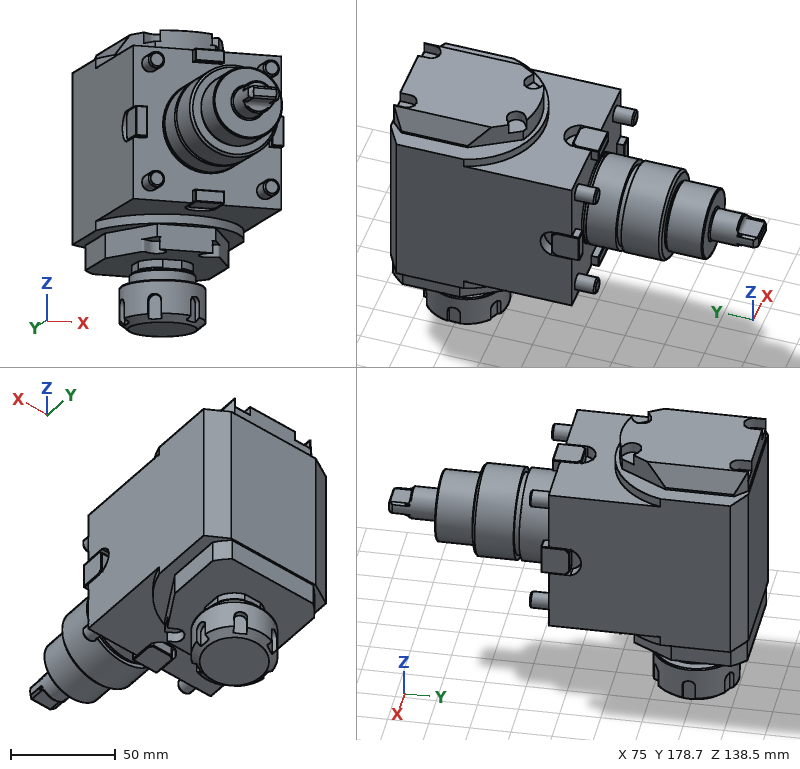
import cadquery as cq
import math


overall_height = 138.53
quarter_turns = (0, 90, 180, 270)

housing_width = 75.0
housing_height = 75.0
housing_depth = 95.0
flange_half_height = 42.0
flange_radius = 39.0
tool_axis_y = 65.0
housing_back_chamfer_depth = 6.7
housing_back_chamfer_angle = 60.0
housing_back_chamfer_width = housing_back_chamfer_depth * math.tan(
    math.radians(housing_back_chamfer_angle)
)

cap_top = 53.0
cap_back = 94.3
cap_half_width = 29.0
cap_front_radius = 36.7
cap_flat_distance = 30.0
cap_back_chamfer = 5.8
cap_bevel_height = 10.0
cap_bevel_angle = 30.0
cap_bevel_width = cap_bevel_height * math.tan(math.radians(cap_bevel_angle))

plate_bottom = -54.3
plate_half_width = 31.2
plate_front = 30.1
plate_back = cap_back
plate_flat_distance = 30.3
plate_back_radius = 38.35
vent_diameter = 2.1
vent_depth = 3.0
vent_y = 89.8
vent_z = -48.4

side_flat_angle = 30.0
recess_width = 9.0
cap_recess_depth = 5.4
plate_recess_depth = 6.0
front_recess_x = 13.1
front_recess_y = 36.0
rear_recess_x = 18.3
rear_recess_y = 89.2
recess_reach = 10.0
mouth_rear_radius = 1.0
mouth_front_radius = 0.35

shank_diameter = 45.0
relief_diameter = 44.6
relief_start = 1.0
relief_end = 2.2
seal_groove_diameter = 40.2
seal_groove_start = 17.2
seal_groove_end = 20.0
shank_length = 40.0
shank_chamfer = 1.2
neck_diameter = 33.6
neck_end = 41.0
pilot_diameter = 35.0
pilot_end = 59.3
pilot_chamfer = 0.6
drive_diameter = 15.7
drive_end = 83.7
drive_chamfer = 2.0
drive_collar_diameter = 17.2
drive_collar_end = 60.0

tang_thickness = 6.0
tang_start = 73.4
tang_root_radius = 2.0
shoulder_chamfer = 0.7
tang_flat_half_width = 5.7
tang_side_bevel_drop = 0.7
tang_end_bevel_length = 0.6
tang_end_bevel_drop = 1.1

screw_diameter = 8.0
screw_offset = 29.1
screw_length = 10.3
screw_chamfer = 0.8

key_width = 14.8
key_back = 10.1
key_front = -3.8
key_thickness = 6.0
key_corner_chamfer = 2.0
key_edge_chamfer = 0.4
keyway_end_diameter = 15.7
keyway_end_y = 7.9

spindle_neck_diameter = 29.6
spindle_neck_bottom = -58.2
spindle_flat_distance = 14.0
spindle_flat_bottom = -58.9
collar_diameter = 32.0
collar_top = -59.1
collar_chamfer = 0.8
nut_diameter = 41.5
nut_top = -65.5
nut_top_chamfer = 0.6
nut_bottom = cap_top - overall_height
nut_cone_height = 3.4
nut_end_diameter = 33.2
nut_slot_count = 6
nut_slot_width = 6.37
nut_slot_top = -72.4
nut_slot_floor_radius = 18.1


def turned(profile):
    """Solid of revolution about Y from (radius, y) points; both ends are closed on the axis."""
    first_y = profile[0][1]
    last_y = profile[-1][1]
    outline = [(0, first_y)] + profile + [(0, last_y)]
    return cq.Workplane("XY").polyline(outline).close().revolve(360, (0, 0, 0), (0, 1, 0))


def prism(outline, bottom, top):
    """Vertical prism with a polygonal outline."""
    return cq.Workplane("XY").workplane(offset=bottom).polyline(outline).close().extrude(top - bottom)


def mirrored(half_outline):
    """Closed outline from its +X half, listed from front to back."""
    return half_outline + [(-x, y) for x, y in reversed(half_outline)]


def slanted_wall_x(y, distance):
    """X at a given y on the slanted wall lying at a distance from the tool axis."""
    angle = math.radians(side_flat_angle)
    return (distance + (y - tool_axis_y) * math.sin(angle)) / math.cos(angle)


def slanted_wall_y(x, distance):
    """Y at a given x on the slanted wall lying at a distance from the tool axis."""
    angle = math.radians(side_flat_angle)
    return tool_axis_y + (x * math.cos(angle) - distance) / math.sin(angle)


def make_housing():
    """Low front block carrying the shank, and a taller rounded body around the tool axis."""
    tall_height = 2 * flange_half_height
    low_block = slab(housing_width, 0, housing_depth, housing_height)
    tall_back = slab(housing_width, tool_axis_y, housing_depth, tall_height)
    tall_round = disc(flange_radius, -flange_half_height, flange_half_height)
    half_width = housing_width / 2
    outline = mirrored([
        (half_width, 0),
        (half_width, housing_depth - housing_back_chamfer_depth),
        (half_width - housing_back_chamfer_width, housing_depth),
    ])
    envelope = prism(outline, -flange_half_height, flange_half_height)
    return low_block.union(tall_back).union(tall_round).intersect(envelope)


def slab(width, front, back, height):
    """Block centred on X and Z, from y = front to y = back."""
    block = cq.Workplane("XY").box(width, back - front, height, centered=(True, False, True))
    return block.translate((0, front, 0))


def disc(radius, bottom, top):
    """Upright cylinder on the tool axis."""
    return cq.Workplane("XY", origin=(0, tool_axis_y, bottom)).circle(radius).extrude(top - bottom)


def recess_cutter(x, y, direction, bottom, depth):
    """Round-ended slot centred at (x, y) that runs out along direction (degrees from X)."""
    end = cq.Workplane("XY").circle(recess_width / 2).extrude(depth)
    run_out = cq.Workplane("XY").box(recess_reach, recess_width, depth, centered=(False, True, False))
    return end.union(run_out).rotate((0, 0, 0), (0, 0, 1), direction).translate((x, y, bottom))


def cut_front_recesses(body, bottom, depth):
    body = body.cut(recess_cutter(front_recess_x, front_recess_y, -side_flat_angle, bottom, depth))
    return body.cut(recess_cutter(-front_recess_x, front_recess_y, 180 + side_flat_angle, bottom, depth))


def cut_rear_recesses(body, bottom, depth):
    for side in (-1, 1):
        body = body.cut(recess_cutter(side * rear_recess_x, rear_recess_y, 90, bottom, depth))
    return body


def make_cap():
    corner_x, corner_y = cap_front_corner()
    shoulder_y = slanted_wall_y(cap_half_width, cap_flat_distance)
    back_half_width = cap_half_width - cap_back_chamfer
    cap = (
        cq.Workplane("XY", origin=(0, 0, flange_half_height))
        .moveTo(corner_x, corner_y)
        .lineTo(cap_half_width, shoulder_y)
        .lineTo(cap_half_width, cap_back - cap_back_chamfer)
        .lineTo(back_half_width, cap_back)
        .lineTo(-back_half_width, cap_back)
        .lineTo(-cap_half_width, cap_back - cap_back_chamfer)
        .lineTo(-cap_half_width, shoulder_y)
        .lineTo(-corner_x, corner_y)
        .threePointArc((0, tool_axis_y - cap_front_radius), (corner_x, corner_y))
        .close()
        .extrude(cap_top - flange_half_height)
    )
    bevelled_section = mirrored([
        (cap_half_width, flange_half_height),
        (cap_half_width, cap_top - cap_bevel_height),
        (cap_half_width - cap_bevel_width, cap_top),
    ])
    cap = cap.intersect(cq.Workplane("XZ").polyline(bevelled_section).close().extrude(-housing_depth))
    recess_bottom = cap_top - cap_recess_depth
    cap = cut_front_recesses(cap, recess_bottom, cap_recess_depth)
    return cut_rear_recesses(cap, recess_bottom, cap_recess_depth)


def cap_front_corner():
    """Point (x, y) where the +X slanted wall of the cap meets its front arc."""
    angle = math.radians(side_flat_angle)
    along_wall = math.sqrt(cap_front_radius**2 - cap_flat_distance**2)
    x = cap_flat_distance * math.cos(angle) - along_wall * math.sin(angle)
    y = tool_axis_y - cap_flat_distance * math.sin(angle) - along_wall * math.cos(angle)
    return x, y


def make_plate():
    outline = mirrored([
        (slanted_wall_x(plate_front, plate_flat_distance), plate_front),
        (plate_half_width, slanted_wall_y(plate_half_width, plate_flat_distance)),
        (plate_half_width, plate_back),
    ])
    plate = prism(outline, plate_bottom, -flange_half_height)
    plate = plate.intersect(disc(plate_back_radius, plate_bottom, -flange_half_height))
    plate = cut_front_recesses(plate, plate_bottom, plate_recess_depth)
    return round_recess_mouths(plate).cut(vent_hole())


def round_recess_mouths(plate):
    """Round the upright edges where the plate's front recesses open through its walls."""
    angle = math.radians(side_flat_angle)
    half_width = recess_width / 2
    rear_line_x = front_recess_x + half_width * math.sin(angle)
    rear_line_y = front_recess_y + half_width * math.cos(angle)
    line_distance = rear_line_x * math.cos(angle) - (rear_line_y - tool_axis_y) * math.sin(angle)
    run = plate_flat_distance - line_distance
    rear_mouth = (rear_line_x + run * math.cos(angle), rear_line_y - run * math.sin(angle))

    front_line_x = front_recess_x - half_width * math.sin(angle)
    front_line_y = front_recess_y - half_width * math.cos(angle)
    front_mouth = (front_line_x + (front_line_y - plate_front) / math.tan(angle), plate_front)

    mouth_z = plate_bottom + plate_recess_depth / 2
    for (x, y), radius in ((rear_mouth, mouth_rear_radius), (front_mouth, mouth_front_radius)):
        for side in (-1, 1):
            edge = cq.selectors.NearestToPointSelector((side * x, y, mouth_z))
            plate = plate.edges("|Z").edges(edge).fillet(radius)
    return plate


def vent_hole():
    """Small blind radial hole in the -X side of the plate's rounded back."""
    rise = vent_y - tool_axis_y
    vent_x = -math.sqrt(plate_back_radius**2 - rise**2)
    inward = cq.Vector(-vent_x, -rise, 0)
    mouth = cq.Vector(vent_x, vent_y, vent_z)
    return cq.Workplane(cq.Solid.makeCylinder(vent_diameter / 2, vent_depth, mouth, inward))


def make_shank():
    shank_r = shank_diameter / 2
    groove_r = seal_groove_diameter / 2
    pilot_r = pilot_diameter / 2
    drive_r = drive_diameter / 2
    return turned([
        (shank_r, 0),
        (shank_r, -relief_start),
        (relief_diameter / 2, -relief_start),
        (relief_diameter / 2, -relief_end),
        (shank_r, -relief_end),
        (shank_r, -seal_groove_start),
        (groove_r, -seal_groove_start),
        (groove_r, -seal_groove_end),
        (shank_r, -seal_groove_end),
        (shank_r, -shank_length + shank_chamfer),
        (shank_r - shank_chamfer, -shank_length),
        (neck_diameter / 2, -shank_length),
        (neck_diameter / 2, -neck_end),
        (pilot_r, -neck_end),
        (pilot_r, -pilot_end + pilot_chamfer),
        (pilot_r - pilot_chamfer, -pilot_end),
        (drive_collar_diameter / 2, -pilot_end),
        (drive_r, -drive_collar_end),
        (drive_r, -drive_end + drive_chamfer),
        (drive_r - drive_chamfer, -drive_end),
    ])


def cut_tang(shank):
    """Mill both sides of the drive end down to a bevelled tang with a rounded root."""
    half_thickness = tang_thickness / 2
    drive_r = drive_diameter / 2
    cutter = cq.Workplane("XY").box(
        drive_diameter, drive_end - tang_start, drive_r, centered=(True, False, False)
    ).translate((0, -drive_end, half_thickness))
    cutter = cutter.edges("|X and >Y and <Z").fillet(tang_root_radius)
    side_bevel = (
        cq.Workplane("XZ", origin=(0, -tang_start, 0))
        .polyline([
            (tang_flat_half_width, half_thickness),
            (drive_r, half_thickness),
            (drive_r, half_thickness - tang_side_bevel_drop),
        ])
        .close()
        .extrude(drive_end - tang_start)
    )
    end_bevel = (
        cq.Workplane("YZ", origin=(-drive_r, 0, 0))
        .polyline([
            (-drive_end + tang_end_bevel_length, half_thickness),
            (-drive_end, half_thickness),
            (-drive_end, half_thickness - tang_end_bevel_drop),
        ])
        .close()
        .extrude(drive_diameter)
    )
    shoulder_bevel = make_shoulder_bevel()
    for cut in (cutter, side_bevel, side_bevel.mirror("YZ"), end_bevel, shoulder_bevel):
        shank = shank.cut(cut).cut(cut.mirror("XY"))
    return shank


def make_shoulder_bevel():
    """Ring segment that chamfers the +Z rim of the shoulder where the tang begins."""
    drive_r = drive_diameter / 2
    ring = (
        cq.Workplane("XY")
        .polyline([
            (drive_r, -tang_start + shoulder_chamfer),
            (drive_r, -tang_start),
            (drive_r - shoulder_chamfer, -tang_start),
        ])
        .close()
        .revolve(360, (0, 0, 0), (0, 1, 0))
    )
    root_top = tang_thickness / 2 + tang_root_radius
    above_root = cq.Workplane("XY", origin=(0, -tang_start, root_top)).box(
        drive_diameter, drive_diameter, drive_diameter, centered=(True, True, False)
    )
    return ring.intersect(above_root)


def make_screws():
    radius = screw_diameter / 2
    screw = turned([
        (radius, 0),
        (radius, -screw_length + screw_chamfer),
        (radius - screw_chamfer, -screw_length),
    ])
    screws = cq.Workplane("XY")
    for x in (-screw_offset, screw_offset):
        for z in (-screw_offset, screw_offset):
            screws = screws.union(screw.translate((x, 0, z)))
    return screws


def make_keyway():
    """Round-ended pocket in the +Z face for one key."""
    top = housing_height / 2
    floor = top - key_thickness
    round_end = cq.Workplane("XY", origin=(0, keyway_end_y, floor))
    round_end = round_end.circle(keyway_end_diameter / 2).extrude(key_thickness)
    front_part = prism(mirrored([(key_width / 2, 0), (key_width / 2, keyway_end_y)]), floor, top)
    end_y = keyway_end_y + keyway_end_diameter
    limits = prism(mirrored([(key_width / 2, 0), (key_width / 2, end_y)]), floor, top)
    return round_end.union(front_part).intersect(limits)


def make_key():
    """Key standing in the +Z keyway and projecting past the mounting face."""
    key = cq.Workplane("XY").box(
        key_width, key_back - key_front, key_thickness, centered=(True, False, False)
    ).translate((0, key_front, housing_height / 2 - key_thickness))
    key = key.edges("|Z and >Y").chamfer(key_corner_chamfer)
    return key.faces("<Y or >Z").edges().chamfer(key_edge_chamfer)


def fit_keys(body):
    for angle in quarter_turns:
        body = body.cut(make_keyway().rotate((0, 0, 0), (0, 1, 0), angle))
        body = body.union(make_key().rotate((0, 0, 0), (0, 1, 0), angle))
    return body


def make_spindle():
    neck_r = spindle_neck_diameter / 2
    collar_r = collar_diameter / 2
    nut_r = nut_diameter / 2
    spindle = turned([
        (neck_r, plate_bottom),
        (neck_r, spindle_neck_bottom),
        (collar_r - collar_chamfer, collar_top),
        (collar_r, collar_top - collar_chamfer),
        (collar_r, nut_top),
        (nut_r - nut_top_chamfer, nut_top),
        (nut_r, nut_top - nut_top_chamfer),
        (nut_r, nut_bottom + nut_cone_height),
        (nut_end_diameter / 2, nut_bottom),
    ]).rotate((0, 0, 0), (1, 0, 0), 90)
    flat_height = plate_bottom - spindle_flat_bottom
    flat = cq.Workplane("XY").box(
        neck_r, spindle_neck_diameter, flat_height, centered=(False, True, False)
    ).translate((spindle_flat_distance, 0, spindle_flat_bottom))
    for angle in quarter_turns:
        spindle = spindle.cut(flat.rotate((0, 0, 0), (0, 0, 1), angle))
    slot = make_nut_slot()
    for index in range(nut_slot_count):
        spindle = spindle.cut(slot.rotate((0, 0, 0), (0, 0, 1), index * 360 / nut_slot_count))
    return spindle.translate((0, tool_axis_y, 0))


def make_nut_slot():
    """Spanner slot on the +X side of the nut: open below, round at its upper end."""
    round_z = nut_slot_top - nut_slot_width / 2
    depth = nut_diameter / 2 - nut_slot_floor_radius
    plane = cq.Workplane("YZ").workplane(offset=nut_slot_floor_radius)
    round_end = plane.center(0, round_z).circle(nut_slot_width / 2).extrude(depth)
    straight = cq.Workplane("XY").box(
        depth, nut_slot_width, round_z - nut_bottom, centered=(False, True, False)
    ).translate((nut_slot_floor_radius, 0, nut_bottom))
    return round_end.union(straight)


result = fit_keys(make_housing())
for component in (make_cap(), make_plate(), cut_tang(make_shank()), make_screws(), make_spindle()):
    result = result.union(component)